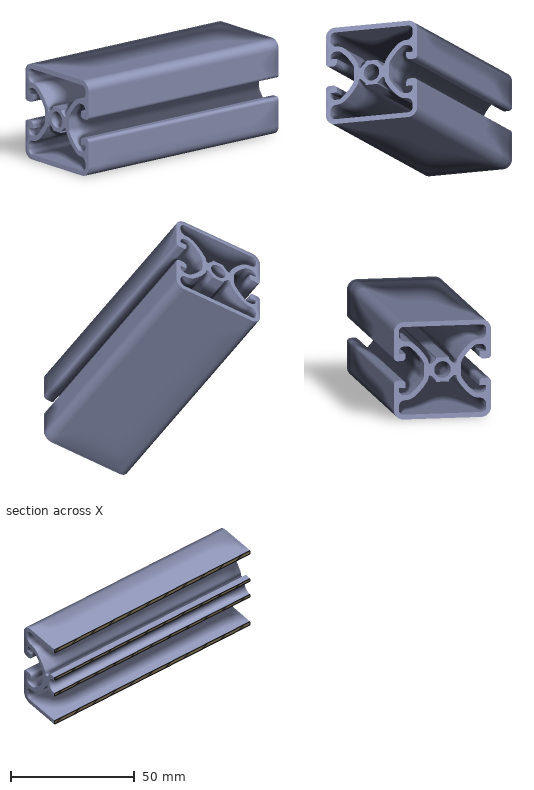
import cadquery as cq
import math

length = 100.0
side = 40.0
half = side / 2
corner_radius = 4.0
wall = 2.0
inner_face = half - wall

slot_half_height = 4.0
lip_depth = 4.8
lip_thickness = 3.0
lip_radius = 1.5
lip_tip = half - lip_depth
lip_back = slot_half_height + lip_thickness

slot_roof = 10.0
cavity_floor = 12.1
slot_root_radius = 2.3
cavity_root_radius = 2.6
slot_knee_x = 13.8
cavity_knee_x = 13.2
slot_knee_radius = 3.0
cavity_knee_radius = 6.1

slot_bow = (10.1, 7.0)
cavity_bow = (8.3, 8.1)
slot_bow_radius = 22.0
cavity_bow_radius = 23.5

slot_floor_x = 7.6
slot_floor_bend_z = 3.0
slot_floor_radius = 3.6
neck_x = 5.8
neck_bend_z = 3.9
neck_radius = 2.6
boss_half_width = 2.6
boss_half_height = 5.0
boss_shoulder_z = 4.4
groove_radius = 0.8
bore_diameter = 6.8


def toward(start, end, distance):
    """Point at the given distance from start on the way to end."""
    span = math.dist(start, end)
    return tuple(a + (b - a) * distance / span for a, b in zip(start, end))


def rounded_prism(corners):
    """Extrude a closed outline of (x, z, radius) corners; radius 0 stays sharp."""
    points = [(x, z) for x, z, _ in corners]
    rounded = []
    for i, (x, z, radius) in enumerate(corners):
        corner = (x, z)
        before = points[i - 1]
        after = points[(i + 1) % len(points)]
        to_before = toward(corner, before, 1.0)
        to_after = toward(corner, after, 1.0)
        half_angle = math.asin(math.dist(to_before, to_after) / 2)
        setback = radius / math.tan(half_angle)
        middle = ((to_before[0] + to_after[0]) / 2, (to_before[1] + to_after[1]) / 2)
        bulge = radius / math.sin(half_angle) - radius
        rounded.append((
            toward(corner, before, setback),
            toward(corner, middle, bulge),
            toward(corner, after, setback),
            radius,
        ))
    outline = cq.Workplane("XZ").moveTo(*rounded[0][2])
    for arc_start, arc_middle, arc_end, radius in rounded[1:] + rounded[:1]:
        outline = outline.lineTo(*arc_start)
        if radius > 0:
            outline = outline.threePointArc(arc_middle, arc_end)
    return outline.close().extrude(length / 2, both=True)


def mirror_left(corners):
    """Corners followed by their mirror image across the Z axis."""
    return corners + [(-x, z, r) for x, z, r in reversed(corners)]


def mirror_down(corners):
    """Corners followed by their mirror image across the X axis."""
    return corners + [(x, -z, r) for x, z, r in reversed(corners)]


def make_body():
    """Rounded square with an undercut slot in the left and right sides."""
    quarter = [
        (half, half, corner_radius),
        (half, slot_half_height, lip_radius),
        (lip_tip, slot_half_height, lip_radius),
        (lip_tip, lip_back, 0),
        (inner_face, lip_back, 0),
        (inner_face, slot_roof, slot_root_radius),
        (slot_knee_x, slot_roof, slot_knee_radius),
        (*slot_bow, slot_bow_radius),
        (slot_floor_x, slot_floor_bend_z, slot_floor_radius),
    ]
    return rounded_prism(mirror_left(mirror_down(quarter)))


def make_upper_cavity():
    """Closed hollow between the top wall, the webs and the boss."""
    groove_z = boss_shoulder_z - (neck_x - boss_half_width)
    right_half = [
        (boss_half_width, boss_half_height, 0),
        (boss_half_width, boss_shoulder_z, 0),
        (neck_x, groove_z, groove_radius),
        (neck_x, neck_bend_z, neck_radius),
        (*cavity_bow, cavity_bow_radius),
        (cavity_knee_x, cavity_floor, cavity_knee_radius),
        (inner_face, cavity_floor, cavity_root_radius),
        (inner_face, inner_face, corner_radius - wall),
    ]
    return rounded_prism(mirror_left(right_half))


upper_cavity = make_upper_cavity()
lower_cavity = upper_cavity.mirror("XY")
bore = cq.Workplane("XZ").circle(bore_diameter / 2).extrude(length / 2, both=True)

result = make_body().cut(upper_cavity).cut(lower_cavity).cut(bore)